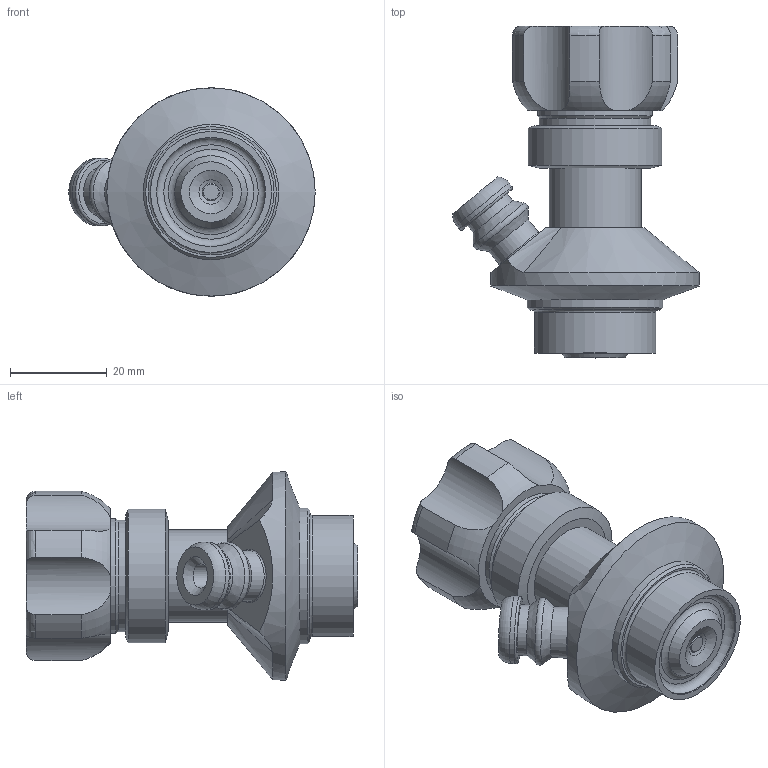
import cadquery as cq
import math


OVERALL_LENGTH = 68.5
SLEEVE_FRONT_Y = 1.0
COLLAR_FRONT_Y = 9.9
COLLAR_REAR_Y = 12.0
RIM_FRONT_Y = 14.85
RIM_REAR_Y = 17.6
CONE_TOP_Y = 26.86
RING_FRONT_Y = 39.2
RING_REAR_Y = 47.95
SHOULDER_FRONT_Y = 50.0
KNOB_FRONT_Y = 51.08

SLEEVE_R = 12.5
COLLAR_R = 14.0
COLLAR_EDGE = 0.5
RIM_R = 21.5
CONE_TOP_R = 10.2
NECK_R = 9.5
RING_R = 13.8
RING_FRONT_CHAMFER_RADIAL = 2.3
RING_REAR_CHAMFER_RADIAL = 1.2
RING_CHAMFER_AXIAL = 0.55
THROAT_R = 11.5
SHOULDER_R = 11.85
SHOULDER_CHAMFER_LENGTH = 0.5

NOSE_TIP_R = 6.25
NOSE_BASE_R = 7.5
NOSE_BASE_Y = 2.0
NOSE_BASE_FILLET = 2.0
RECESS_MOUTH_R = 11.25
RECESS_FILLET = 1.5
RECESS_FLOOR_INNER_R = 8.8
RECESS_FLOOR_Y = 2.8
CUP_MOUTH_R = 4.5
CUP_BOTTOM_R = 2.5
CUP_DEPTH = 1.0
CUP_GROOVE_R = 1.85
CUP_GROOVE_DEPTH = 1.3
CUP_PIN_R = 1.65
CUP_PIN_DEPTH = 1.1

KNOB_R = 17.5
KNOB_FACE_R = 13.9
KNOB_ROUND_LENGTH = 6.0
KNOB_ROUND_R = 12.0
KNOB_REAR_FILLET = 2.0
FLUTE_COUNT = 6
FLUTE_BOTTOM_R = 13.6
FLUTE_R = 7.7
FIRST_FLUTE_ANGLE = 7.2

PAD_HALF_WIDTH = 13.8
PAD_FOOT_ANGLE = 47.0
PAD_SIDE_MID = (-16.8, 14.7)

SPIGOT_LENGTH = 14.4
SPIGOT_SHIFT = 0.35
SPIGOT_ROOT_DEPTH = 3.0
SPIGOT_R = 5.25
SPIGOT_ROOT_FILLET = 0.3
BARB_R = 7.0
HEAD_FACE_R = 6.0
HEAD_ROUND_LENGTH = 2.4
HEAD_LENGTH = 3.85
HEAD_BACK_FILLET = 0.5
BARB_TOP_H = 8.65
BARB_CROWN_TOP_H = 6.75
BARB_CROWN_BOTTOM_H = 5.5
BARB_BOTTOM_H = 3.65
BARB_CROWN_EDGE_R = 6.8
BORE_R = 2.5
BORE_MOUTH_R = 4.0
BORE_DEPTH = 20.0


def turned_body():
    """Everything turned about Y except the knob, solid at the front."""
    return (
        cq.Workplane("XY")
        .moveTo(0, SLEEVE_FRONT_Y)
        .lineTo(SLEEVE_R, SLEEVE_FRONT_Y)
        .lineTo(SLEEVE_R, COLLAR_FRONT_Y - COLLAR_EDGE)
        .radiusArc((SLEEVE_R + COLLAR_EDGE, COLLAR_FRONT_Y), COLLAR_EDGE)
        .lineTo(COLLAR_R - COLLAR_EDGE, COLLAR_FRONT_Y)
        .lineTo(COLLAR_R, COLLAR_FRONT_Y + COLLAR_EDGE)
        .lineTo(COLLAR_R, COLLAR_REAR_Y)
        .lineTo(RIM_R, RIM_FRONT_Y)
        .lineTo(RIM_R, RIM_REAR_Y)
        .lineTo(CONE_TOP_R, CONE_TOP_Y)
        .lineTo(NECK_R, CONE_TOP_Y)
        .lineTo(NECK_R, RING_FRONT_Y)
        .lineTo(RING_R - RING_FRONT_CHAMFER_RADIAL, RING_FRONT_Y)
        .lineTo(RING_R, RING_FRONT_Y + RING_CHAMFER_AXIAL)
        .lineTo(RING_R, RING_REAR_Y - RING_CHAMFER_AXIAL)
        .lineTo(RING_R - RING_REAR_CHAMFER_RADIAL, RING_REAR_Y)
        .lineTo(THROAT_R, RING_REAR_Y)
        .lineTo(THROAT_R, SHOULDER_FRONT_Y - SHOULDER_CHAMFER_LENGTH)
        .lineTo(SHOULDER_R, SHOULDER_FRONT_Y)
        .lineTo(SHOULDER_R, KNOB_FRONT_Y)
        .lineTo(0, KNOB_FRONT_Y)
        .close()
        .revolve(360, (0, 0), (0, 1))
    )


def front_recess():
    """Ring-shaped recess behind the sleeve mouth."""
    return (
        cq.Workplane("XY")
        .moveTo(0, SLEEVE_FRONT_Y)
        .lineTo(RECESS_MOUTH_R, SLEEVE_FRONT_Y)
        .lineTo(RECESS_MOUTH_R, RECESS_FLOOR_Y - RECESS_FILLET)
        .radiusArc((RECESS_MOUTH_R - RECESS_FILLET, RECESS_FLOOR_Y), -RECESS_FILLET)
        .lineTo(0, RECESS_FLOOR_Y)
        .close()
        .revolve(360, (0, 0), (0, 1))
    )


def nose():
    """Conical nose with a shallow cup in its tip and a low pin at the bottom of the cup."""
    return (
        cq.Workplane("XY")
        .moveTo(0, CUP_PIN_DEPTH)
        .lineTo(CUP_PIN_R, CUP_PIN_DEPTH)
        .lineTo(CUP_GROOVE_R, CUP_GROOVE_DEPTH)
        .lineTo(CUP_BOTTOM_R, CUP_DEPTH)
        .lineTo(CUP_MOUTH_R, 0)
        .lineTo(NOSE_TIP_R, 0)
        .lineTo(NOSE_BASE_R, NOSE_BASE_Y)
        .radiusArc((RECESS_FLOOR_INNER_R, RECESS_FLOOR_Y), NOSE_BASE_FILLET)
        .lineTo(RECESS_FLOOR_INNER_R, COLLAR_FRONT_Y)
        .lineTo(0, COLLAR_FRONT_Y)
        .close()
        .revolve(360, (0, 0), (0, 1))
    )


def knob():
    """Hand knob: a rounded disc with six flutes along its side."""
    round_end_y = KNOB_FRONT_Y + KNOB_ROUND_LENGTH
    disc = (
        cq.Workplane("XY")
        .moveTo(0, KNOB_FRONT_Y)
        .lineTo(KNOB_FACE_R, KNOB_FRONT_Y)
        .radiusArc((KNOB_R, round_end_y), -KNOB_ROUND_R)
        .lineTo(KNOB_R, OVERALL_LENGTH - KNOB_REAR_FILLET)
        .radiusArc((KNOB_R - KNOB_REAR_FILLET, OVERALL_LENGTH), -KNOB_REAR_FILLET)
        .lineTo(0, OVERALL_LENGTH)
        .close()
        .revolve(360, (0, 0), (0, 1))
    )
    for index in range(FLUTE_COUNT):
        angle = math.radians(FIRST_FLUTE_ANGLE + index * 360 / FLUTE_COUNT)
        distance = FLUTE_BOTTOM_R + FLUTE_R
        start = cq.Vector(distance * math.cos(angle), KNOB_FRONT_Y, distance * math.sin(angle))
        flute = cq.Solid.makeCylinder(FLUTE_R, OVERALL_LENGTH - KNOB_FRONT_Y, start, cq.Vector(0, 1, 0))
        disc = disc.cut(cq.Workplane(flute))
    return disc


def pad_section(y, scale):
    """Wire of the pad at height y; all sections shrink toward the apex of the rear cone."""
    foot = math.radians(PAD_FOOT_ANGLE)
    upper = [
        (-RIM_R, PAD_HALF_WIDTH),
        PAD_SIDE_MID,
        (-RIM_R * math.cos(foot), RIM_R * math.sin(foot)),
    ]

    def place(point, side):
        return cq.Vector(point[0] * scale, y, point[1] * side * scale)

    edge, side_mid, foot_point = [place(p, 1) for p in upper]
    low_edge, low_side_mid, low_foot = [place(p, -1) for p in upper]
    center = cq.Vector(0, y, 0)
    return cq.Wire.assembleEdges([
        cq.Edge.makeThreePointArc(edge, side_mid, foot_point),
        cq.Edge.makeLine(foot_point, center),
        cq.Edge.makeLine(center, low_foot),
        cq.Edge.makeThreePointArc(low_foot, low_side_mid, low_edge),
        cq.Edge.makeLine(low_edge, edge),
    ])


def spigot_pad():
    """Flat seat touching the cone along one line, trimmed by the flange rim."""
    wires = [pad_section(RIM_REAR_Y, 1), pad_section(CONE_TOP_Y, CONE_TOP_R / RIM_R)]
    pad = cq.Workplane(cq.Solid.makeLoft(wires, True))
    rim = cq.Solid.makeCylinder(
        RIM_R, CONE_TOP_Y - RIM_REAR_Y, cq.Vector(0, RIM_REAR_Y, 0), cq.Vector(0, 1, 0)
    )
    return pad.intersect(cq.Workplane(rim))


def spigot_plane():
    """Plane in the XY plane of the part with local y along the spigot, origin on the pad."""
    run = RIM_R - CONE_TOP_R
    rise = CONE_TOP_Y - RIM_REAR_Y
    shift = SPIGOT_SHIFT / math.hypot(run, rise)
    origin = (
        -(RIM_R + CONE_TOP_R) / 2 + shift * run,
        (RIM_REAR_Y + CONE_TOP_Y) / 2 + shift * rise,
        0,
    )
    return cq.Plane(origin=origin, xDir=(run, rise, 0), normal=(0, 0, 1))


def spigot():
    """Hose spigot with a rounded head and one barb."""
    head_bottom_h = SPIGOT_LENGTH - HEAD_LENGTH
    head_drop = BARB_R - HEAD_FACE_R
    head_round_r = (HEAD_ROUND_LENGTH ** 2 + head_drop ** 2) / (2 * head_drop)
    return (
        cq.Workplane(spigot_plane())
        .moveTo(0, -SPIGOT_ROOT_DEPTH)
        .lineTo(SPIGOT_R + SPIGOT_ROOT_FILLET, -SPIGOT_ROOT_DEPTH)
        .lineTo(SPIGOT_R + SPIGOT_ROOT_FILLET, 0)
        .radiusArc((SPIGOT_R, SPIGOT_ROOT_FILLET), SPIGOT_ROOT_FILLET)
        .lineTo(SPIGOT_R, BARB_BOTTOM_H)
        .lineTo(BARB_CROWN_EDGE_R, BARB_CROWN_BOTTOM_H)
        .threePointArc(
            (BARB_R, (BARB_CROWN_BOTTOM_H + BARB_CROWN_TOP_H) / 2),
            (BARB_CROWN_EDGE_R, BARB_CROWN_TOP_H),
        )
        .lineTo(SPIGOT_R, BARB_TOP_H)
        .lineTo(SPIGOT_R, head_bottom_h)
        .lineTo(BARB_R - HEAD_BACK_FILLET, head_bottom_h)
        .radiusArc((BARB_R, head_bottom_h + HEAD_BACK_FILLET), -HEAD_BACK_FILLET)
        .lineTo(BARB_R, SPIGOT_LENGTH - HEAD_ROUND_LENGTH)
        .radiusArc((HEAD_FACE_R, SPIGOT_LENGTH), -head_round_r)
        .lineTo(0, SPIGOT_LENGTH)
        .close()
        .revolve(360, (0, 0), (0, 1))
    )


def spigot_bore():
    """Blind bore of the spigot with a 45 degree countersink."""
    return (
        cq.Workplane(spigot_plane())
        .moveTo(0, SPIGOT_LENGTH)
        .lineTo(BORE_MOUTH_R, SPIGOT_LENGTH)
        .lineTo(BORE_R, SPIGOT_LENGTH - (BORE_MOUTH_R - BORE_R))
        .lineTo(BORE_R, SPIGOT_LENGTH - BORE_DEPTH)
        .lineTo(0, SPIGOT_LENGTH - BORE_DEPTH)
        .close()
        .revolve(360, (0, 0), (0, 1))
    )


body = turned_body().cut(front_recess()).union(nose())
body = body.union(knob())
body = body.union(spigot_pad()).union(spigot())
result = body.cut(spigot_bore())